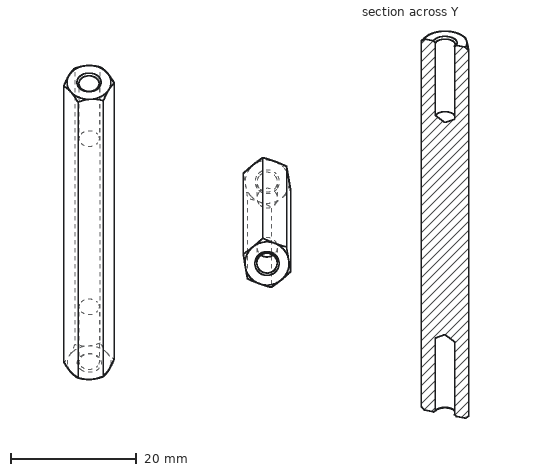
import cadquery as cq
import math

length = 70.0
across_flats = 7.0
across_corners = across_flats / math.cos(math.radians(30))

end_face_diameter = across_flats
chamfer_angle = 45.0
chamfer_radial = (across_corners - end_face_diameter) / 2
chamfer_height = chamfer_radial * math.tan(math.radians(chamfer_angle))

hole_diameter = 3.2
mouth_diameter = 3.85
hole_depth = 14.0
drill_point_angle = 118.0


def hexagonal_bar():
    """Hexagon with corners on the X axis, trimmed by a cylinder with conical ends."""
    bar = cq.Workplane("XY").polygon(6, across_corners).extrude(length)
    envelope = (
        cq.Workplane("XY")
        .circle(across_corners / 2)
        .extrude(length)
        .faces("<Z or >Z")
        .chamfer(chamfer_height, chamfer_radial)
    )
    return bar.intersect(envelope)


def top_hole():
    """Revolved cutter for the hole in the upper end."""
    hole_radius = hole_diameter / 2
    mouth_radius = mouth_diameter / 2
    mouth_depth = mouth_radius - hole_radius
    bottom = length - hole_depth
    point_height = hole_radius / math.tan(math.radians(drill_point_angle / 2))
    return (
        cq.Workplane("XZ")
        .moveTo(0, length)
        .lineTo(mouth_radius, length)
        .lineTo(hole_radius, length - mouth_depth)
        .lineTo(hole_radius, bottom)
        .lineTo(0, bottom - point_height)
        .close()
        .revolve(360, (0, 0, 0), (0, 1, 0))
    )


upper_cutter = top_hole()
lower_cutter = upper_cutter.mirror("XY", (0, 0, length / 2))
result = hexagonal_bar().cut(upper_cutter).cut(lower_cutter)